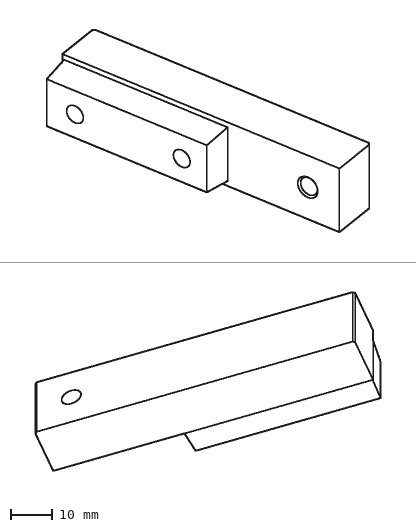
import cadquery as cq
import math

bar_length = 83.0
bar_depth = 13.0
bar_height = 19.0
back_chamfer = 0.5

pad_depth = 8.0
pad_length = 49.0
pad_height = 16.0
pad_end_inset = 0.5
end_taper = 0.5
side_draft_angle = 7.0

hole_pitch = 32.0
through_hole_diameter = 5.0
through_hole_mouth_diameter = 6.0
recess_diameter = 5.0
recess_depth = 2.0

pad_center_x = -bar_length / 2 + pad_end_inset + pad_length / 2
pad_front_y = -pad_depth
through_hole_radius = through_hole_diameter / 2
mouth_radius = through_hole_mouth_diameter / 2
recess_radius = recess_diameter / 2
recess_xs = (-hole_pitch, 0.0)
through_hole_x = hole_pitch


def make_bar():
    """Rectangular bar with its two upright back edges chamfered."""
    bar = cq.Workplane("XY").box(bar_length, bar_depth, bar_height, centered=(True, False, True))
    return bar.faces(">Y").edges("|Z").chamfer(back_chamfer)


def make_pad():
    """Block that tapers towards the front, with less taper on its ends than on its top and bottom."""
    side_taper = pad_depth * math.tan(math.radians(side_draft_angle))
    return (
        cq.Workplane("XZ", origin=(pad_center_x, 0, 0))
        .rect(pad_length, pad_height)
        .workplane(offset=pad_depth)
        .rect(pad_length - 2 * end_taper, pad_height - 2 * side_taper)
        .loft(ruled=True)
    )


def make_turned_cutter(x, profile):
    """Solid of revolution about the Y-parallel axis at x; profile points are (radius, y)."""
    return (
        cq.Workplane("XY", origin=(x, 0, 0))
        .polyline(profile)
        .close()
        .revolve(360, (0, 0, 0), (0, 1, 0))
    )


def make_conical_recess(x):
    """Cone cut straight into the pad front, with its tip inside the pad."""
    return make_turned_cutter(
        x, [(0, pad_front_y), (recess_radius, pad_front_y), (0, pad_front_y + recess_depth)]
    )


def make_through_hole(x):
    """Hole through the bar with a 45 degree countersunk mouth at the front."""
    mouth_depth = mouth_radius - through_hole_radius
    return make_turned_cutter(
        x,
        [
            (0, 0),
            (mouth_radius, 0),
            (through_hole_radius, mouth_depth),
            (through_hole_radius, bar_depth),
            (0, bar_depth),
        ],
    )


result = make_bar().union(make_pad())
for recess_x in recess_xs:
    result = result.cut(make_conical_recess(recess_x))
result = result.cut(make_through_hole(through_hole_x))